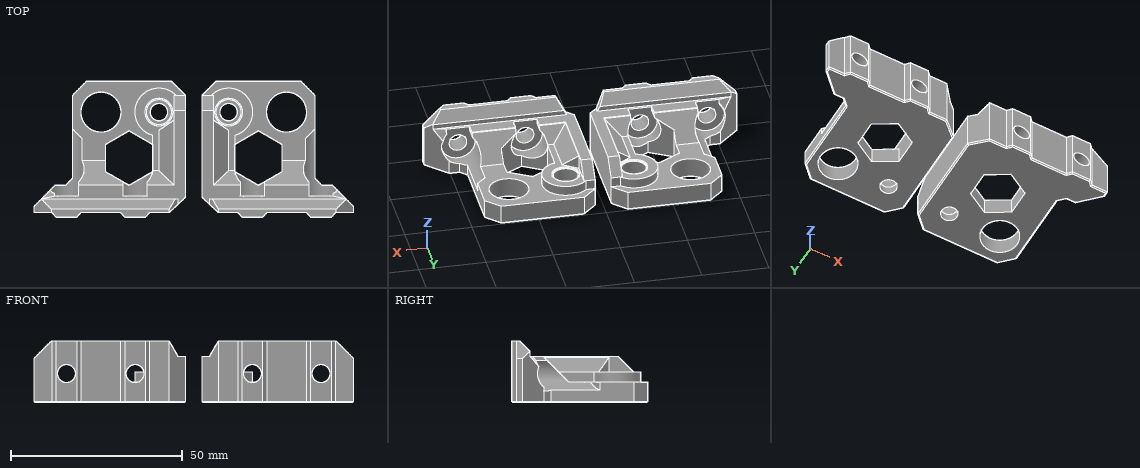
import cadquery as cq
import math


BODY_GAP = 4.7
TOTAL_LENGTH = 93.17
INNER_X = BODY_GAP / 2
WING_X = TOTAL_LENGTH / 2
BASE_WIDTH = 33.0
OUTER_X = INNER_X + BASE_WIDTH
BACK_Y = 38.3
BACK_CHAMFER = 4.1
FRONT_CHAMFER_X = 4.8
FRONT_CHAMFER_Y = 4.5
WING_DEPTH = 8.0
WING_END_THICKNESS = 1.8
WING_CHAMFER = WING_DEPTH - WING_END_THICKNESS
WING_GUSSET = 2.0
BOTTOM_CHAMFER = 0.4

BASE_HEIGHT = 6.0
LEDGE_HEIGHT = 9.0
WALL_HEIGHT = 13.5
WALL_LIP = 0.25
SLOPE_HEIGHT = WALL_HEIGHT - WALL_LIP
PLATE_HEIGHT = 18.0
ABOVE = PLATE_HEIGHT + 2.0

PLATE_THICKNESS = 4.0
PLATE_TOP_CHAMFER = 3.0
WING_SLOPE_START = 4.0
WING_SLOPE_ANGLE = 57.0
WING_SLOPE_TURN = 12.0
INNER_BEVEL_ANGLE = 30.0
WING_BEVEL = 5.1

SCREW_X = 17.1
SCREW_PITCH = 20.0
SCREW_XS = (SCREW_X, SCREW_X + SCREW_PITCH)
SCREW_Z = 8.5
SCREW_DIAMETER = 5.2
SCREW_FLOOR_Y = 4.8
HEAD_DIAMETER = 10.3
HEAD_SLOT_WIDTH = 7.0
RIB_ROOT_WIDTH = 8.5
RIB_CREST_WIDTH = 6.0
RIB_HEIGHT = 1.4
INNER_HEAD_END_Y = 12.5
CHANNEL_END_Y = 24.4

SIDE_WALL_THICKNESS = 3.4
SIDE_WALL_BACK_Y = BACK_Y - BACK_CHAMFER
SIDE_WALL_BACK_RUN = WALL_HEIGHT - LEDGE_HEIGHT
BRACE_RUN = 4.4
BRACE_END_Y = 24.0
BRACE_END_ANGLE = 34.0
BOSS_DIAMETER = 14.0
INSERT_X = 10.15
HOLES_Y = 29.3
INSERT_MOUTH_DIAMETER = 8.09
INSERT_MOUTH_DEPTH = 0.4
INSERT_DIAMETER = 7.29
INSERT_FLOOR_Z = 3.0
BOLT_DIAMETER = 5.0

LARGE_HOLE_X = 27.05
LARGE_HOLE_DIAMETER = 11.6
HEX_ACROSS_FLATS = 13.7
HEX_X = INNER_X + BASE_WIDTH / 2
HEX_Y = 15.9
LEDGE_X = HEX_X - HEX_ACROSS_FLATS / 2


def box(x0, x1, y0, y1, z0, z1):
    return cq.Workplane("XY").box(x1 - x0, y1 - y0, z1 - z0, centered=False).translate((x0, y0, z0))


def prism_along_z(points, z0, z1):
    return cq.Workplane("XY").workplane(offset=z0).polyline(points).close().extrude(z1 - z0)


def prism_along_x(yz_points, x0, x1):
    return cq.Workplane("YZ").workplane(offset=x0).polyline(yz_points).close().extrude(x1 - x0)


def prism_along_y(xz_points, y0, y1):
    return cq.Workplane("XZ").workplane(offset=-y0).polyline(xz_points).close().extrude(y0 - y1)


def upright_cylinder(x, y, diameter, z0, z1):
    return cq.Workplane("XY").workplane(offset=z0).center(x, y).circle(diameter / 2).extrude(z1 - z0)


def screw_cylinder(x, diameter, y0, y1):
    return cq.Workplane("XZ").workplane(offset=-y0).center(x, SCREW_Z).circle(diameter / 2).extrude(y0 - y1)


def envelope():
    """Full-height prism of the plan outline, ribs included, chamfered along the underside."""
    points = [(INNER_X, FRONT_CHAMFER_Y), (INNER_X + FRONT_CHAMFER_X, 0)]
    for x in SCREW_XS:
        points += [
            (x - RIB_ROOT_WIDTH / 2, 0),
            (x - RIB_CREST_WIDTH / 2, -RIB_HEIGHT),
            (x + RIB_CREST_WIDTH / 2, -RIB_HEIGHT),
            (x + RIB_ROOT_WIDTH / 2, 0),
        ]
    points += [
        (WING_X, 0),
        (WING_X, WING_END_THICKNESS),
        (WING_X - WING_CHAMFER, WING_DEPTH),
        (OUTER_X + WING_GUSSET, WING_DEPTH),
        (OUTER_X, WING_DEPTH + WING_GUSSET),
        (OUTER_X, BACK_Y - BACK_CHAMFER),
        (OUTER_X - BACK_CHAMFER, BACK_Y),
        (INNER_X + BACK_CHAMFER, BACK_Y),
        (INNER_X, BACK_Y - BACK_CHAMFER),
    ]
    return prism_along_z(points, 0, PLATE_HEIGHT).faces("<Z").chamfer(BOTTOM_CHAMFER)


def front_plate_and_wall():
    """Front plate with its wedge top; behind it a wall with a short lip and a 45 degree slope."""
    plate_top = [
        (-RIB_HEIGHT, 0),
        (-RIB_HEIGHT, PLATE_HEIGHT),
        (PLATE_THICKNESS - PLATE_TOP_CHAMFER, PLATE_HEIGHT),
        (PLATE_THICKNESS, PLATE_HEIGHT - PLATE_TOP_CHAMFER),
        (PLATE_THICKNESS, WALL_HEIGHT),
        (WING_DEPTH, WALL_HEIGHT),
    ]
    slope_foot_y = WING_DEPTH + SLOPE_HEIGHT - BASE_HEIGHT
    wall_slope = [(WING_DEPTH, SLOPE_HEIGHT), (slope_foot_y, BASE_HEIGHT), (slope_foot_y, 0)]
    wall = prism_along_x(plate_top + wall_slope, INNER_X, OUTER_X)
    wing_back_y = WING_DEPTH + WING_GUSSET
    wing = prism_along_x(plate_top + [(wing_back_y, WALL_HEIGHT), (wing_back_y, 0)], OUTER_X, WING_X)
    return wall.union(wing.cut(wing_slope()))


def wing_slope():
    """Cutter for the slope on the wing outside the screw, turned slightly about the vertical."""
    slope_drop = WING_DEPTH * math.tan(math.radians(WING_SLOPE_ANGLE))
    pivot_x = WING_X - (WING_SLOPE_START - WING_END_THICKNESS)
    cutter = prism_along_x(
        [
            (WING_SLOPE_START, WALL_HEIGHT),
            (WING_SLOPE_START + WING_DEPTH, WALL_HEIGHT - slope_drop),
            (WING_SLOPE_START + WING_DEPTH, WALL_HEIGHT),
        ],
        SCREW_XS[1],
        WING_X,
    )
    pivot = (pivot_x, WING_SLOPE_START, 0)
    return cutter.rotate(pivot, (pivot_x, WING_SLOPE_START, 1), -WING_SLOPE_TURN)


def plate_end_bevels():
    """Cutters that slope both ends of the front plate's raised top."""
    inner_top_x = INNER_X + FRONT_CHAMFER_X
    rise = PLATE_HEIGHT - WALL_HEIGHT
    inner = prism_along_y(
        [
            (inner_top_x, PLATE_HEIGHT),
            (inner_top_x - rise * math.tan(math.radians(INNER_BEVEL_ANGLE)), WALL_HEIGHT),
            (INNER_X, WALL_HEIGHT),
            (INNER_X, PLATE_HEIGHT),
        ],
        -RIB_HEIGHT,
        WING_DEPTH,
    )
    outer = prism_along_y(
        [
            (WING_X - WING_BEVEL, PLATE_HEIGHT),
            (WING_X, PLATE_HEIGHT - WING_BEVEL),
            (WING_X, PLATE_HEIGHT),
        ],
        -RIB_HEIGHT,
        WING_DEPTH,
    )
    return inner.union(outer)


def side_wall():
    """Wall along the inner edge, sloped at the back and braced towards the hexagon."""
    wall_x = INNER_X + SIDE_WALL_THICKNESS
    wall = prism_along_x(
        [
            (0, 0),
            (0, WALL_HEIGHT),
            (SIDE_WALL_BACK_Y - SIDE_WALL_BACK_RUN, WALL_HEIGHT),
            (SIDE_WALL_BACK_Y, LEDGE_HEIGHT),
            (SIDE_WALL_BACK_Y, 0),
        ],
        INNER_X,
        wall_x,
    )
    brace_rise = BRACE_RUN * math.tan(math.radians(BRACE_END_ANGLE))
    brace = prism_along_y(
        [(wall_x, 0), (wall_x, SLOPE_HEIGHT), (wall_x + BRACE_RUN, LEDGE_HEIGHT), (wall_x + BRACE_RUN, 0)],
        0,
        BRACE_END_Y + brace_rise,
    )
    brace_plan = prism_along_z(
        [
            (wall_x, 0),
            (wall_x + BRACE_RUN, 0),
            (wall_x + BRACE_RUN, BRACE_END_Y),
            (wall_x, BRACE_END_Y + brace_rise),
        ],
        0,
        PLATE_HEIGHT,
    )
    return wall.union(brace.intersect(brace_plan))


def ledge_and_boss():
    ledge = box(INNER_X, LEDGE_X, 0, HOLES_Y, 0, LEDGE_HEIGHT)
    return ledge.union(upright_cylinder(INSERT_X, HOLES_Y, BOSS_DIAMETER, 0, LEDGE_HEIGHT))


def screw_cutters():
    """Screw holes with head clearances; the outer clearance runs on as a channel along the base edge."""
    channel_plan = prism_along_z(
        [
            (INNER_X, 0),
            (WING_X, 0),
            (WING_X, CHANNEL_END_Y + WING_X - OUTER_X),
            (INNER_X, CHANNEL_END_Y + INNER_X - OUTER_X),
        ],
        0,
        ABOVE,
    )
    cutters = cq.Workplane("XY")
    for x, end_y in zip(SCREW_XS, (INNER_HEAD_END_Y, BACK_Y)):
        head = screw_cylinder(x, HEAD_DIAMETER, SCREW_FLOOR_Y, end_y)
        if end_y > CHANNEL_END_Y:
            head = head.intersect(channel_plan)
        half_slot = HEAD_SLOT_WIDTH / 2
        slot = box(x - half_slot, x + half_slot, SCREW_FLOOR_Y, HEX_Y, SCREW_Z, WALL_HEIGHT)
        shank = screw_cylinder(x, SCREW_DIAMETER, -RIB_HEIGHT, HEX_Y)
        cutters = cutters.add(head).add(slot).add(shank)
    return cutters


def base_openings():
    """Large hole, hexagonal opening and the stepped insert hole through the boss."""
    half_side_angle = math.pi / 6
    corner_radius = HEX_ACROSS_FLATS / 2 / math.cos(half_side_angle)
    corners = []
    for corner in range(6):
        angle = (2 * corner + 1) * half_side_angle
        corners.append((HEX_X + corner_radius * math.cos(angle), HEX_Y + corner_radius * math.sin(angle)))
    hexagon = prism_along_z(corners, 0, ABOVE)
    return (
        hexagon
        .add(upright_cylinder(LARGE_HOLE_X, HOLES_Y, LARGE_HOLE_DIAMETER, 0, ABOVE))
        .add(upright_cylinder(INSERT_X, HOLES_Y, BOLT_DIAMETER, 0, ABOVE))
        .add(upright_cylinder(INSERT_X, HOLES_Y, INSERT_DIAMETER, INSERT_FLOOR_Z, LEDGE_HEIGHT))
        .add(upright_cylinder(INSERT_X, HOLES_Y, INSERT_MOUTH_DIAMETER,
                              LEDGE_HEIGHT - INSERT_MOUTH_DEPTH, LEDGE_HEIGHT))
    )


def cut_all(body, cutters):
    for cutter in cutters.vals():
        body = body.cut(cq.Workplane(cutter))
    return body


def rail_bracket():
    body = box(INNER_X, OUTER_X, 0, BACK_Y, 0, BASE_HEIGHT)
    for portion in (front_plate_and_wall(), side_wall(), ledge_and_boss()):
        body = body.union(portion)
    body = body.intersect(envelope())
    for cutters in (plate_end_bevels(), screw_cutters(), base_openings()):
        body = cut_all(body, cutters)
    return body


right_bracket = rail_bracket()
left_bracket = right_bracket.mirror("YZ")

result = cq.Compound.makeCompound([right_bracket.val(), left_bracket.val()])